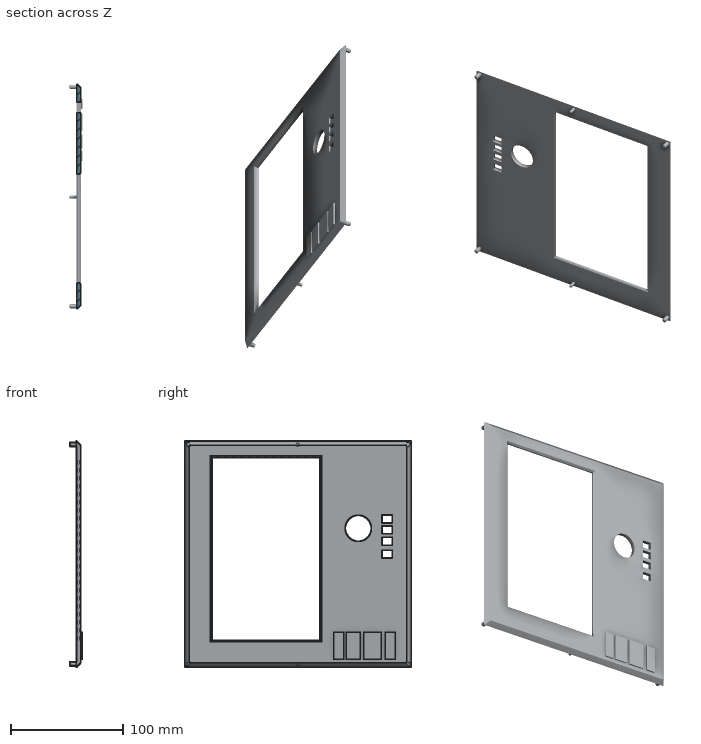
import cadquery as cq

panel_side = 201.7
panel_thickness = 4.0
corner_radius = 2.0

pin_length = 6.0
pin_inset = 3.2
corner_pin_diameter = 3.8
corner_pin_rounding = 0.9
middle_pin_diameter = 2.8
middle_pin_rounding = 0.9
middle_pin_y = -0.5

window_margin = 23.5
window_top_margin = 14.1
window_left_edge = 20.5
window_back_chamfer = 1.0
window_front_chamfer = 1.6

dial_diameter = 23.0
dial_y = 53.7
dial_z = 23.0

button_width = 8.9
button_height = 6.9
button_y = 79.3
button_centers_z = (0, 11.5, 21.5, 31.3)

pad_thickness = 1.5
pad_bottom = -93.5
pad_top = -69.5
pad_spans = ((31.7, 40.5), (42.8, 55.5), (58.5, 74.0), (77.9, 86.7))

half_side = panel_side / 2


def block(x_range, y_range, z_range):
    """Box between the given limits on each axis."""
    sizes = [high - low for low, high in (x_range, y_range, z_range)]
    corner = (x_range[0], y_range[0], z_range[0])
    return cq.Workplane("XY").box(*sizes, centered=False).translate(corner)


def flared_block(depth, y_range, z_range, inset):
    """Block rising from X = 0 whose outline moves in by the inset over its depth (out if negative)."""
    y_size = y_range[1] - y_range[0]
    z_size = z_range[1] - z_range[0]
    return (
        cq.Workplane("YZ")
        .center(sum(y_range) / 2, sum(z_range) / 2)
        .rect(y_size, z_size)
        .workplane(offset=depth)
        .rect(y_size - 2 * inset, z_size - 2 * inset)
        .loft(ruled=True)
    )


def panel():
    """Square plate with sides sloping inward at 45 degrees toward the front, and rounded corners."""
    half = (-half_side, half_side)
    plate = flared_block(panel_thickness, half, half, panel_thickness)
    sloping_corners = plate.edges("not(|Y or |Z)")
    return sloping_corners.fillet(corner_radius)


def pin(diameter, rounding, y, z):
    """Round pin standing on the back face, with a rounded tip."""
    return (
        cq.Workplane("YZ")
        .center(y, z)
        .circle(diameter / 2)
        .extrude(-pin_length)
        .faces("<X")
        .edges()
        .fillet(rounding)
    )


def window():
    """Rectangular opening with a 45 degree chamfer all round at the back and at the front."""
    y_range = (window_margin - half_side, window_left_edge)
    z_range = (window_margin - half_side, half_side - window_top_margin)
    inner_y = (y_range[0] + window_back_chamfer, y_range[1] - window_back_chamfer)
    inner_z = (z_range[0] + window_back_chamfer, z_range[1] - window_back_chamfer)
    opening = block((0, panel_thickness), inner_y, inner_z)
    back_flare = flared_block(window_back_chamfer, y_range, z_range, window_back_chamfer)
    front_flare = flared_block(window_front_chamfer, inner_y, inner_z, -window_front_chamfer)
    front_start = panel_thickness - window_front_chamfer
    return opening.union(back_flare).union(front_flare.translate((front_start, 0, 0)))


def dial_opening():
    """Round opening through the panel."""
    circle = cq.Workplane("YZ").center(dial_y, dial_z).circle(dial_diameter / 2)
    return circle.extrude(panel_thickness)


def button_openings():
    """Column of equal rectangular openings through the panel."""
    centers = [(button_y, z) for z in button_centers_z]
    column = cq.Workplane("YZ").pushPoints(centers).rect(button_width, button_height)
    return column.extrude(panel_thickness)


result = panel().cut(window()).cut(dial_opening()).cut(button_openings())

pin_offset = half_side - pin_inset
for pin_z in (-pin_offset, pin_offset):
    result = result.union(pin(middle_pin_diameter, middle_pin_rounding, middle_pin_y, pin_z))
    for pin_y in (-pin_offset, pin_offset):
        result = result.union(pin(corner_pin_diameter, corner_pin_rounding, pin_y, pin_z))

pad_x = (panel_thickness, panel_thickness + pad_thickness)
for pad_y in pad_spans:
    result = result.union(block(pad_x, pad_y, (pad_bottom, pad_top)))

result = cq.Workplane(result.solids().val())